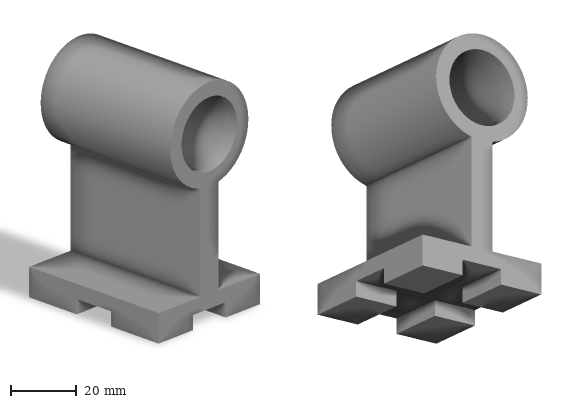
import cadquery as cq

length = 54.75
base_width = 44.65
height = 79.6

base_thickness = 10.0
channel_width = 14.5
channel_depth = base_thickness / 2

tube_diameter = 34.5
wall_thickness = 5.0
bore_diameter = tube_diameter - 2 * wall_thickness
tube_axis_height = height - tube_diameter / 2
web_thickness = 7.95


def block(size_x, size_y, size_z):
    """Box centred in X and Y, standing on Z = 0."""
    return cq.Workplane("XY").box(size_x, size_y, size_z, centered=(True, True, False))


def cylinder_along_x(diameter):
    """Full-length cylinder on the tube axis."""
    return (
        cq.Workplane("YZ")
        .center(0, tube_axis_height)
        .circle(diameter / 2)
        .extrude(length / 2, both=True)
    )


base = block(length, base_width, base_thickness)
channel_along_x = block(length, channel_width, channel_depth)
channel_along_y = block(channel_width, base_width, channel_depth)
base = base.cut(channel_along_x).cut(channel_along_y)

web_height = tube_axis_height - channel_depth
web = block(length, web_thickness, web_height).translate((0, 0, channel_depth))

result = (
    base.union(web)
    .union(cylinder_along_x(tube_diameter))
    .cut(cylinder_along_x(bore_diameter))
)